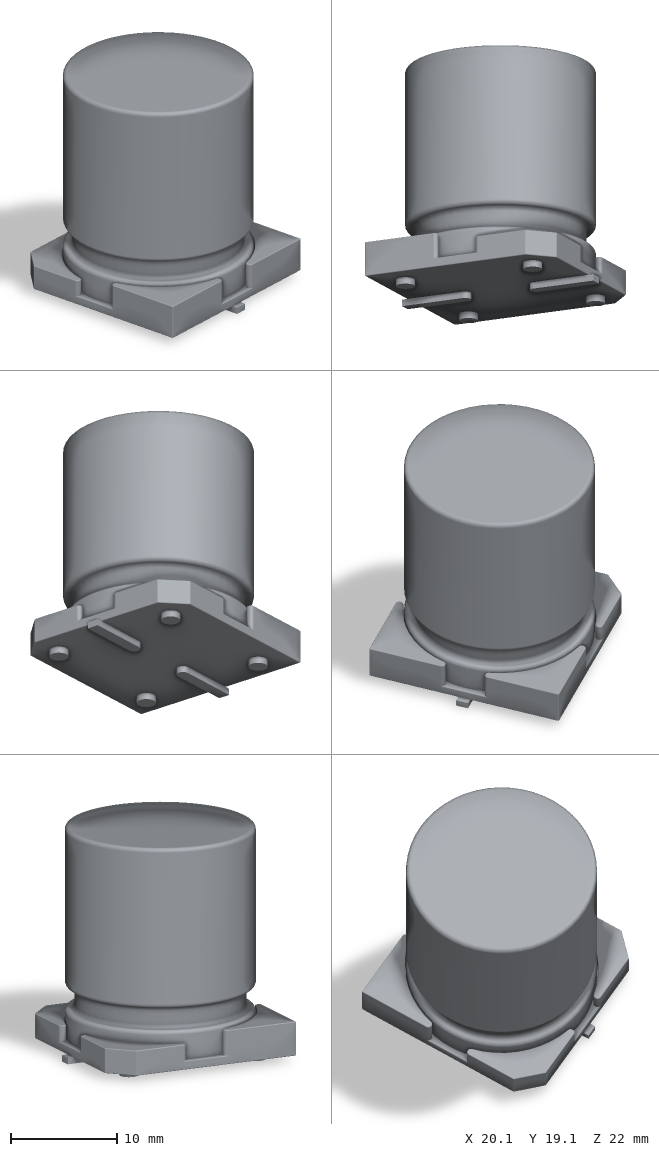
import cadquery as cq
import math

height = 22.0

can_radius = 18.0 / 2
neck_radius = 16.2 / 2
can_round = 0.4
neck_bottom = 4.69
neck_top = 6.05

base_width = 19.1
base_bottom = 0.64
floor_top = 1.5
low_corner_top = 3.08
high_corner_top = 3.95
corner_chamfer = 2.2
well_clearance = 0.1
notch_width = 4.03
post_round = 0.35
corner_round = 0.1
edge_round = 0.09

foot_diameter = 1.8
foot_offset = 6.69
terminal_width = 1.19
terminal_outer_end = 20.1 / 2
terminal_inner_end = 3.15


def make_can():
    """Turned can: rounded top rim and a neck whose shoulders are S-curves with a narrow flat."""
    slack = can_round * (1 - math.sqrt(0.5))
    rim_inner = can_radius - can_round
    neck_outer = neck_radius + can_round
    lower_flat = neck_bottom - can_round
    upper_flat = neck_top + can_round
    profile = (
        cq.Workplane("XZ")
        .moveTo(0, floor_top)
        .lineTo(can_radius, floor_top)
        .lineTo(can_radius, lower_flat - can_round)
        .threePointArc((can_radius - slack, lower_flat - slack), (rim_inner, lower_flat))
        .lineTo(neck_outer, lower_flat)
        .threePointArc((neck_radius + slack, lower_flat + slack), (neck_radius, neck_bottom))
        .lineTo(neck_radius, neck_top)
        .threePointArc((neck_radius + slack, upper_flat - slack), (neck_outer, upper_flat))
        .lineTo(rim_inner, upper_flat)
        .threePointArc((can_radius - slack, upper_flat + slack), (can_radius, upper_flat + can_round))
        .lineTo(can_radius, height - can_round)
        .threePointArc((can_radius - slack, height - slack), (rim_inner, height))
        .lineTo(0, height)
        .close()
    )
    return profile.revolve(360, (0, 0, 0), (0, 1, 0))


def outline_block(bottom, top):
    """Square block with the two -X corners chamfered and the upright edges eased."""
    return (
        cq.Workplane("XY", origin=(0, 0, bottom))
        .rect(base_width, base_width)
        .extrude(top - bottom)
        .edges("|Z and <X")
        .chamfer(corner_chamfer)
        .edges("|Z")
        .fillet(corner_round)
    )


def make_floor():
    """Plate under the can, eased around its top and bottom outlines."""
    return outline_block(base_bottom, floor_top).faces("<Z or >Z").edges().fillet(edge_round)


def make_posts():
    """Four corner posts around the well: two low at -X, two tall at +X, with notches between them."""
    post_bottom = (base_bottom + floor_top) / 2
    posts = outline_block(post_bottom, high_corner_top)
    low_corner_space = cq.Workplane("XY", origin=(-base_width / 2, 0, low_corner_top))
    posts = posts.cut(low_corner_space.rect(base_width, base_width).extrude(height))

    ground = cq.Workplane("XY", origin=(0, 0, post_bottom))
    posts = posts.cut(ground.circle(can_radius + well_clearance).extrude(height))
    posts = posts.cut(ground.rect(2 * base_width, notch_width).extrude(height))
    posts = posts.cut(ground.rect(notch_width, 2 * base_width).extrude(height))

    reach = notch_width / 2 + post_round / 2
    beside_x_notches = cq.selectors.BoxSelector((-base_width, -reach, 0), (base_width, reach, height))
    beside_y_notches = cq.selectors.BoxSelector((-reach, -base_width, 0), (reach, base_width, height))
    posts = posts.edges("|Z").edges(beside_x_notches + beside_y_notches).fillet(post_round)
    above_floor = cq.selectors.BoxSelector(
        (-base_width, -base_width, floor_top),
        (base_width, base_width, height),
    )
    return posts.faces("|Z").faces(above_floor).edges().fillet(edge_round)


def make_feet():
    return (
        cq.Workplane("XY")
        .rect(2 * foot_offset, 2 * foot_offset, forConstruction=True)
        .vertices()
        .circle(foot_diameter / 2)
        .extrude(base_bottom)
    )


def make_terminal(side):
    """Flat terminal along X with a fully rounded inner end; side is +1 or -1."""
    half_width = terminal_width / 2
    round_start = side * (terminal_inner_end + half_width)
    outer_end = side * terminal_outer_end
    return (
        cq.Workplane("XY")
        .moveTo(outer_end, -half_width)
        .lineTo(round_start, -half_width)
        .threePointArc((side * terminal_inner_end, 0), (round_start, half_width))
        .lineTo(outer_end, half_width)
        .close()
        .extrude(base_bottom)
    )


result = make_floor().union(make_posts()).union(make_can()).union(make_feet())
for side in (-1, 1):
    result = result.union(make_terminal(side))